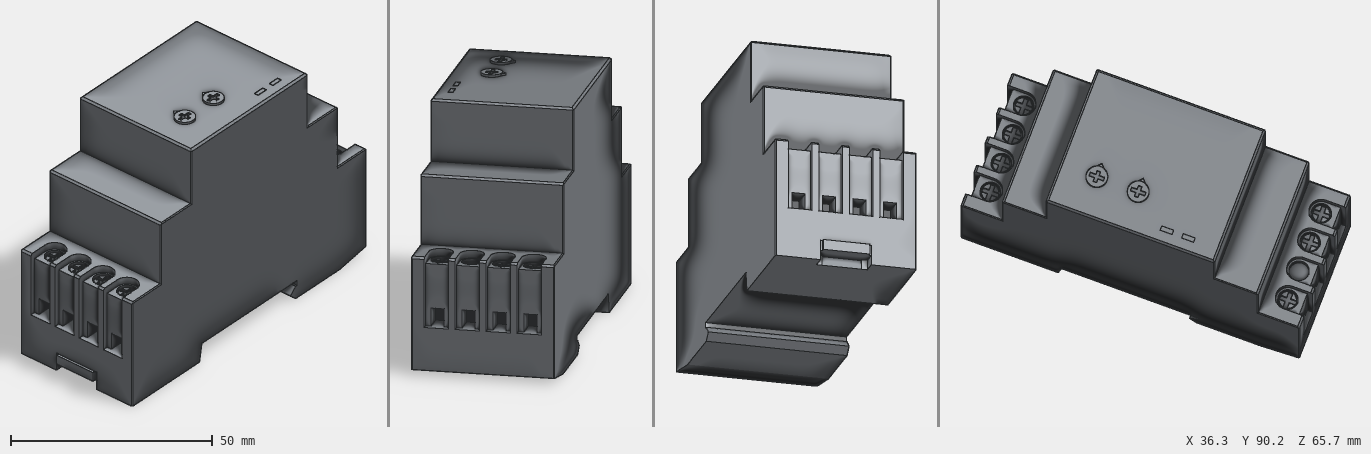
import cadquery as cq
import math

width = 36.3
base_length = 89.5
base_height = 31.0
middle_height = 49.1
top_height = 65.1
middle_inset = 10.9
top_inset = 22.5
edge_chamfer = 0.5
side_chamfer = 0.3
base_end = base_length / 2
middle_end = base_end - middle_inset
top_end = base_end - top_inset

foot_rise = 1.8
foot_run = 10.2
notch_height = 5.1
notch_rear = base_end - 26.6
notch_front_top = base_end - 62.9
notch_front_bottom = base_end - 63.8
lip_tip = base_end - 29.0
lip_root = base_end - 27.15
lip_root_height = 3.7

terminal_pitch = 7.85
terminal_count = 4
screw_inset = 5.4
slot_width = 6.1
slot_depth = 2.0
slot_bottom = 12.9
wire_face_inset = 1.4
entry_width = 3.3
entry_height = 4.7
entry_depth = 5.4
screw_hole_radius = 2.5
screw_hole_depth = 1.8
screw_radius = 2.2
screw_head_drop = 0.45
screw_slot_length = 2 * screw_radius
screw_slot_width = 1.1
screw_slot_depth = 0.7
empty_terminal = (1, 2)

clip_opening_width = 13.1
clip_gap_depth = 0.1
clip_width = 11.9
clip_projection = 0.7
clip_tab_bottom = 2.5
clip_recess_depth = 3.6
clip_ramp_width = 10.2
clip_ramp_run = 0.6
clip_nose = base_end - 60.2
clip_nose_bottom = 2.6
clip_nose_top = 3.7

knob_radius = 2.7
knob_height = 0.6
knob_x = 7.85
knob_ys = (-1.7, -12.6)
pointer_reach = 3.6
pointer_half_width = 1.0
pointer_height = 0.5
knob_cross_length_x = 2.9
knob_cross_length_y = 3.8
knob_slot_width = 0.9
knob_slot_depth = 0.45
window_x = 14.5
window_ys = (14.1, 8.4)
window_width = 1.2
window_length = 3.2
window_height = 0.1


def block(x_size, y_range, z_range, x_center=0.0):
    """Box centred on x_center in X and spanning the given Y and Z ranges."""
    (y0, y1), (z0, z1) = y_range, z_range
    return (
        cq.Workplane("XY", origin=(x_center, (y0 + y1) / 2, z0))
        .rect(x_size, y1 - y0)
        .extrude(z1 - z0)
    )


def side_prism(points, x_size):
    """Prism along X, centred on X = 0, from an outline of (y, z) points."""
    return cq.Workplane("YZ").polyline(points).close().extrude(x_size / 2, both=True)


def cross(x, y, length_x, length_y, slot_width, z_range):
    """Two crossing bars centred on (x, y)."""
    half_y, half_slot = length_y / 2, slot_width / 2
    bar_x = block(length_x, (y - half_slot, y + half_slot), z_range, x)
    bar_y = block(slot_width, (y - half_y, y + half_y), z_range, x)
    return bar_x.union(bar_y)


def cylinder(x, y, radius, z_range):
    z0, z1 = z_range
    return cq.Workplane("XY", origin=(x, y, z0)).circle(radius).extrude(z1 - z0)


def make_step(end, height, upper_side_chamfer):
    """One step of the housing: common volume of three boxes, each chamfered along one axis."""
    step = block(width, (-end, end), (0, height))
    ends_chamfered = step.edges("|X and >Z").chamfer(edge_chamfer)
    sides_chamfered = step.edges("|Y and >Z").chamfer(upper_side_chamfer)
    corners_chamfered = step.edges("|Z").chamfer(side_chamfer)
    return ends_chamfered.intersect(sides_chamfered).intersect(corners_chamfered)


def make_housing():
    base = make_step(base_end, base_height, side_chamfer)
    middle = make_step(middle_end, middle_height, side_chamfer)
    top = make_step(top_end, top_height, edge_chamfer)
    housing = base.union(middle).union(top)

    foot_slope = side_prism(
        [(base_end, 0), (base_end, foot_rise), (base_end - foot_run, 0)], width
    )
    rail_notch = side_prism(
        [
            (lip_root, 0),
            (lip_tip, foot_rise),
            (lip_root, lip_root_height),
            (notch_rear, lip_root_height),
            (notch_rear, notch_height),
            (notch_front_top, notch_height),
            (notch_front_bottom, 0),
        ],
        width,
    )
    return housing.cut(foot_slope).cut(rail_notch)


def cut_terminal(body, x, side, has_screw):
    """Terminal slot with wire entry and screw; side is -1 at the front, 1 at the rear."""
    screw_y = side * (base_end - screw_inset)
    end_y = side * base_end
    wall_y = side * (base_end - wire_face_inset)
    entry_y = wall_y - side * entry_depth
    floor = base_height - slot_depth
    head = floor - screw_head_drop

    slot_range = sorted((screw_y, end_y))
    wire_range = sorted((wall_y, end_y))
    entry_range = sorted((entry_y, wall_y))
    body = body.cut(block(slot_width, slot_range, (floor, base_height), x))
    body = body.cut(cylinder(x, screw_y, slot_width / 2, (floor, base_height)))
    body = body.cut(block(slot_width, wire_range, (slot_bottom, floor), x))
    body = body.cut(block(entry_width, entry_range, (slot_bottom, slot_bottom + entry_height), x))

    hole_bottom = floor - screw_hole_depth
    body = body.cut(cylinder(x, screw_y, screw_hole_radius, (hole_bottom, floor)))
    if has_screw:
        screw = cylinder(x, screw_y, screw_radius, (hole_bottom, head))
        recess = cross(
            x,
            screw_y,
            screw_slot_length,
            screw_slot_length,
            screw_slot_width,
            (head - screw_slot_depth, head),
        )
        body = body.union(screw.cut(recess))
    return body


def cut_terminals(body):
    for side in (-1, 1):
        for index in range(terminal_count):
            x = (index - (terminal_count - 1) / 2) * terminal_pitch
            body = cut_terminal(body, x, side, (side, index) != empty_terminal)
    return body


def add_rail_clip(body):
    """Clip tab at the front with a recess below it, and the clip nose in the rail notch."""
    front = -base_end
    recess_back = front + clip_recess_depth
    gap = block(clip_opening_width, (front, front + clip_gap_depth), (0, notch_height))
    recess = block(clip_opening_width, (front, recess_back), (0, clip_tab_bottom))
    ramp = side_prism(
        [
            (recess_back, 0),
            (recess_back + clip_ramp_run, clip_tab_bottom),
            (recess_back, clip_tab_bottom),
        ],
        clip_ramp_width,
    )
    tab = block(
        clip_width, (front - clip_projection, front + clip_gap_depth), (clip_tab_bottom, notch_height)
    )
    nose = side_prism(
        [
            (notch_front_bottom, 0),
            (clip_nose, clip_nose_bottom),
            (clip_nose, clip_nose_top),
            (notch_front_top, notch_height),
        ],
        clip_width,
    )
    return body.cut(gap).cut(recess).cut(ramp).union(tab).union(nose)


def add_knobs(body):
    knob_range = (top_height, top_height + knob_height)
    slot_range = (knob_range[1] - knob_slot_depth, knob_range[1])
    pointer_root = -math.sqrt(knob_radius**2 - pointer_half_width**2)
    for y in knob_ys:
        pointer = (
            cq.Workplane("XY", origin=(knob_x, y, top_height))
            .polyline(
                [
                    (-pointer_reach, 0),
                    (pointer_root, -pointer_half_width),
                    (pointer_root, pointer_half_width),
                ]
            )
            .close()
            .extrude(pointer_height)
        )
        knob = cylinder(knob_x, y, knob_radius, knob_range).union(pointer)
        slots = cross(
            knob_x, y, knob_cross_length_x, knob_cross_length_y, knob_slot_width, slot_range
        )
        body = body.union(knob.cut(slots))
    return body


def add_windows(body):
    for y in window_ys:
        y_range = (y - window_length / 2, y + window_length / 2)
        z_range = (top_height, top_height + window_height)
        body = body.union(block(window_width, y_range, z_range, window_x))
    return body


result = add_windows(add_knobs(add_rail_clip(cut_terminals(make_housing()))))